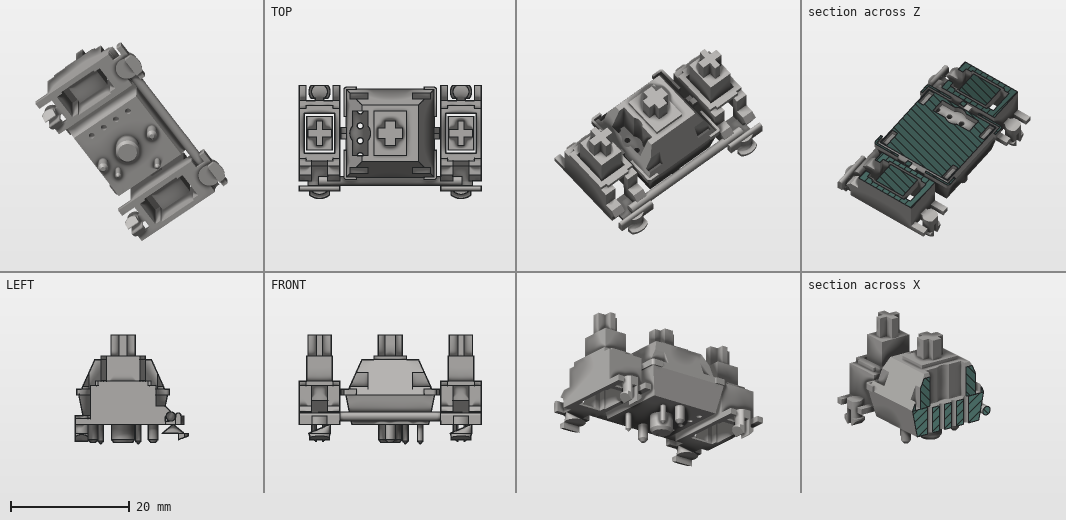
import cadquery as cq


TOTAL_WIDTH = 30.8
TOP_Z = 15.2
SHOULDER_Z = 11.65
PEG_TAPER_BOTTOM = -3.05

SPLIT_Z = 5.0
SPLIT_HALF = 7.5
LOWER_BASE_HALF = 6.5
UPPER_TOP_HALF = 4.8
UPPER_TOP_Z = 11.0

POST_DIAMETER = 3.97
POST_TIP_DIAMETER = 3.17
PEG_DIAMETER = 1.7
PEG_TIP_DIAMETER = 0.77
PEG_Y = 5.08
PEG_STRAIGHT_BOTTOM = -2.5
CONTACT_DIAMETER = 1.0
CONTACT_STRAIGHT_BOTTOM = -2.77
CONTACT_TIP_Z = -3.3
CONTACT_CENTERS = [(2.55, 3.8), (5.08, -2.55)]

LED_X = -5.08
LED_HOLE_DIAMETER = 1.0
LED_HOLE_YS = [-3.8, -1.25, 1.25, 3.8]
LED_POCKET_DIAMETER = 3.55
LED_POCKET_WIDTH = 2.65
LED_POCKET_LENGTH = 7.5
LED_POCKET_FLOOR_Z = 4.68

LIP_OUTER_HALF = 7.85
LIP_INNER_HALF = 7.42
LIP_HEIGHT = 1.05
LIP_CORNER_RADIUS = 0.52
LIP_GAP_X_HALF = 5.73
LIP_GAP_Y_HALF = 2.83
TAB_TIP_X = 8.4
TAB_HALF_WIDTH = 1.0
TAB_LOW_HEIGHT = 0.52

NOTCH_INNER_X = 3.75
NOTCH_INNER_Y = 5.8
NOTCH_OUTER = 6.85

STEM_PLATE_X = 5.55
STEM_PLATE_Y = 7.55
STEM_CROSS_X = 4.07
STEM_CROSS_Y = 4.15
STEM_ARM_X = 1.8
STEM_ARM_Y = 1.75

MODULE_WIDTH = 6.87
MODULE_HALF = MODULE_WIDTH / 2
MODULE_X = (TOTAL_WIDTH - MODULE_WIDTH) / 2
BOX_HALF_Y = 5.55
BOX_TOP_Z = 6.62
RIM_TOP_Z = 7.35
RIM_WIDE_HALF_Y = 4.22
RIM_NARROW_HALF_Y = 4.68
RIM_NARROW_HALF_X = 2.25
OPENING_HALF_X = 2.55
OPENING_HALF_Y = 3.35
CAVITY_HALF_Y = 4.47
SLOT_HALF = 1.35
SILL_HEIGHT = 0.3

WIRE_DIAMETER = 1.6
WIRE_RADIUS = WIRE_DIAMETER / 2
WIRE_Y = -8.07
WIRE_Z = 1.4
WIRE_HALF_LENGTH = 12.15
FLOOR_HEIGHT = WIRE_Z - WIRE_RADIUS
CRADLE_HALF = 1.97

LEG_TOP_Z = 3.2
LEG_SHOULDER_Y = -7.08
LEG_FRONT_Y = -7.15
LEG_TIP_Y = -8.05

CLIP_THICKNESS = 0.92
CLIP_TOP_Z = 2.0
FOOT_Y = -8.47
FOOT_DIAMETER = 3.7
FOOT_TOP_Z = 1.48
FOOT_BASE_Z = -1.45
CONE_TIP_RADIUS = 0.12
TOE_RADIUS = 2.6
TOE_HALF_WIDTH = 1.7
TOE_BACK_Y = -9.33
TOE_HEEL_Z = -2.55
TOE_TIP_Z = -1.9

PRONG_INNER_X = 2.25
PRONG_HEIGHT = 1.02
BACK_Y = 8.13
BARB_PEG_Y = 7.02
BARB_SHAFT_DIAMETER = 2.68
BARB_HEAD_DIAMETER = 3.6
BARB_PEG_TOP_Z = 1.55
BARB_TOP_Z = -1.45
BARB_EDGE_Z = -1.65
BARB_BOTTOM_Z = -2.83
BARB_TIP_HALF = 0.65
BARB_SPLIT_HALF = 0.5
BARB_NECK_HALF = 0.75

SLIDER_X = 4.37
SLIDER_Y = 5.7
SLIDER_BOTTOM_Z = 4.1
SLIDER_CROSS_X = 3.97
SLIDER_CROSS_Y = 4.1
SLIDER_ARM_X = 1.05
SLIDER_ARM_Y = 1.32


def block(x0, x1, y0, y1, z0, z1):
    """Axis-aligned box given by its limits."""
    return cq.Workplane("XY").box(x1 - x0, y1 - y0, z1 - z0, centered=False).translate((x0, y0, z0))


def centered_block(half_x, half_y, z0, z1):
    """Box centred on the Z axis."""
    return block(-half_x, half_x, -half_y, half_y, z0, z1)


def disk(x, y, diameter, z0, z1):
    """Vertical cylinder."""
    return cq.Workplane("XY", origin=(x, y, z0)).circle(diameter / 2).extrude(z1 - z0)


def square_frustum(half_bottom, half_top, z0, z1):
    """Four-sided frustum centred on the Z axis."""
    bottom = cq.Workplane("XY", origin=(0, 0, z0)).rect(2 * half_bottom, 2 * half_bottom)
    return bottom.workplane(offset=z1 - z0).rect(2 * half_top, 2 * half_top).loft(ruled=True)


def turned_pin(x, y, diameter, tip_diameter, straight_bottom, tip_z):
    """Pin hanging below Z = 0 that narrows to its tip."""
    profile = [(0, 0), (diameter / 2, 0), (diameter / 2, straight_bottom)]
    if tip_diameter > 0:
        profile.append((tip_diameter / 2, tip_z))
    profile.append((0, tip_z))
    pin = cq.Workplane("XZ").polyline(profile).close().revolve(360, (0, 0, 0), (0, 1, 0))
    return pin.translate((x, y, 0))


def key_cross(size_x, size_y, arm_x, arm_y):
    """Cross that plugs into a keycap."""
    along_x = centered_block(size_x / 2, arm_y / 2, SHOULDER_Z, TOP_Z)
    along_y = centered_block(arm_x / 2, size_y / 2, SHOULDER_Z, TOP_Z)
    return along_x.union(along_y)


def x_rod(half_length):
    """Round bar along X on the wire axis."""
    rod = cq.Workplane("YZ", origin=(-half_length, 0, 0)).center(WIRE_Y, WIRE_Z)
    return rod.circle(WIRE_RADIUS).extrude(2 * half_length)


def make_led_pocket():
    """Cutter for the light window: a slot with a round bulge in the middle."""
    slot = centered_block(LED_POCKET_WIDTH / 2, LED_POCKET_LENGTH / 2, LED_POCKET_FLOOR_Z, UPPER_TOP_Z)
    bulge = disk(LED_X, 0, LED_POCKET_DIAMETER, LED_POCKET_FLOOR_Z, UPPER_TOP_Z)
    return slot.translate((LED_X, 0, 0)).union(bulge)


def make_lower_housing():
    body = square_frustum(LOWER_BASE_HALF, SPLIT_HALF, 0, SPLIT_Z)
    body = body.union(
        turned_pin(0, 0, POST_DIAMETER, POST_TIP_DIAMETER, PEG_STRAIGHT_BOTTOM, PEG_TAPER_BOTTOM)
    )
    for y in (-PEG_Y, PEG_Y):
        body = body.union(
            turned_pin(0, y, PEG_DIAMETER, PEG_TIP_DIAMETER, PEG_STRAIGHT_BOTTOM, PEG_TAPER_BOTTOM)
        )
    for x, y in CONTACT_CENTERS:
        body = body.union(turned_pin(x, y, CONTACT_DIAMETER, 0, CONTACT_STRAIGHT_BOTTOM, CONTACT_TIP_Z))
    for y in LED_HOLE_YS:
        body = body.cut(disk(LED_X, y, LED_HOLE_DIAMETER, 0, SPLIT_Z))
    return body.cut(make_led_pocket())


def make_corner_lips():
    """Thin upright lip kept only around the four corners."""
    top = SPLIT_Z + LIP_HEIGHT
    lip = centered_block(LIP_OUTER_HALF, LIP_OUTER_HALF, SPLIT_Z, top)
    lip = lip.edges("|Z").fillet(LIP_CORNER_RADIUS)
    lip = lip.cut(centered_block(LIP_INNER_HALF, LIP_INNER_HALF, SPLIT_Z, top))
    lip = lip.cut(centered_block(LIP_GAP_X_HALF, LIP_OUTER_HALF, SPLIT_Z, top))
    return lip.cut(centered_block(LIP_OUTER_HALF, LIP_GAP_Y_HALF, SPLIT_Z, top))


def make_side_tab():
    """Stepped tab on the right side: the front half is the taller one."""
    front = block(LIP_INNER_HALF, TAB_TIP_X, -TAB_HALF_WIDTH, 0, SPLIT_Z, SPLIT_Z + LIP_HEIGHT)
    back = block(LIP_INNER_HALF, TAB_TIP_X, 0, TAB_HALF_WIDTH, SPLIT_Z, SPLIT_Z + TAB_LOW_HEIGHT)
    return front.union(back)


def make_upper_housing():
    body = square_frustum(SPLIT_HALF, UPPER_TOP_HALF, SPLIT_Z, UPPER_TOP_Z)

    notch = block(NOTCH_INNER_X, NOTCH_OUTER, NOTCH_INNER_Y, NOTCH_OUTER, SPLIT_Z, UPPER_TOP_Z)
    front_back = notch.union(notch.mirror("XZ"))
    body = body.cut(front_back).cut(front_back.mirror("YZ"))

    body = body.cut(make_led_pocket())

    tab = make_side_tab()
    return body.union(make_corner_lips()).union(tab).union(tab.mirror("YZ"))


def make_stem():
    plate = centered_block(STEM_PLATE_X / 2, STEM_PLATE_Y / 2, UPPER_TOP_Z, SHOULDER_Z)
    return plate.union(key_cross(STEM_CROSS_X, STEM_CROSS_Y, STEM_ARM_X, STEM_ARM_Y))


def make_box():
    """Hollow box with a raised rim and a slot through its front wall."""
    box = centered_block(MODULE_HALF, BOX_HALF_Y, 0, BOX_TOP_Z)
    box = box.cut(centered_block(OPENING_HALF_X, OPENING_HALF_Y, 0, BOX_TOP_Z))
    box = box.cut(centered_block(RIM_NARROW_HALF_X, CAVITY_HALF_Y, 0, BOX_TOP_Z))
    box = box.cut(block(-SLOT_HALF, SLOT_HALF, -BOX_HALF_Y, -CAVITY_HALF_Y, SILL_HEIGHT, BOX_TOP_Z))
    rim = centered_block(MODULE_HALF, RIM_WIDE_HALF_Y, BOX_TOP_Z, RIM_TOP_Z)
    rim = rim.union(centered_block(RIM_NARROW_HALF_X, RIM_NARROW_HALF_Y, BOX_TOP_Z, RIM_TOP_Z))
    rim = rim.cut(centered_block(OPENING_HALF_X, OPENING_HALF_Y, BOX_TOP_Z, RIM_TOP_Z))
    return box.union(rim)


def make_legs():
    """Two hooked legs at the front that reach over the wire."""
    tip_z = LEG_TOP_Z - (LEG_SHOULDER_Y - LEG_TIP_Y)
    profile = [
        (-BOX_HALF_Y, 0),
        (-BOX_HALF_Y, LEG_TOP_Z),
        (LEG_SHOULDER_Y, LEG_TOP_Z),
        (LEG_TIP_Y, tip_z),
        (LEG_TIP_Y, WIRE_Z),
        (LEG_FRONT_Y, WIRE_Z),
        (LEG_FRONT_Y, 0),
    ]
    legs = cq.Workplane("YZ", origin=(-MODULE_HALF, 0, 0)).polyline(profile).close().extrude(MODULE_WIDTH)
    return legs.cut(block(-SLOT_HALF, SLOT_HALF, LEG_TIP_Y, -BOX_HALF_Y, 0, LEG_TOP_Z))


def make_clip():
    """Round-topped bar in front of the wire, with the floor and cradle below the wire."""
    back_y = WIRE_Y - WIRE_RADIUS
    radius = CLIP_THICKNESS / 2
    profile = cq.Workplane("YZ", origin=(-MODULE_HALF, 0, 0)).moveTo(back_y, 0)
    profile = profile.lineTo(back_y, CLIP_TOP_Z - radius)
    profile = profile.threePointArc(
        (back_y - radius, CLIP_TOP_Z), (back_y - CLIP_THICKNESS, CLIP_TOP_Z - radius)
    )
    bar = profile.lineTo(back_y - CLIP_THICKNESS, 0).close().extrude(MODULE_WIDTH)
    floor = block(-SLOT_HALF, SLOT_HALF, back_y, -BOX_HALF_Y, 0, FLOOR_HEIGHT)
    cradle_base = block(-CRADLE_HALF, CRADLE_HALF, back_y, LEG_FRONT_Y, 0, FLOOR_HEIGHT)
    cradle_front = block(-CRADLE_HALF, CRADLE_HALF, back_y, WIRE_Y, 0, WIRE_Z)
    return bar.union(floor).union(cradle_base).union(cradle_front)


def make_foot():
    """Short pillar, slanted cone with its tip at the right, and a bevelled toe."""
    radius = FOOT_DIAMETER / 2
    pillar = disk(0, FOOT_Y, FOOT_DIAMETER, 0, FOOT_TOP_Z)
    pillar = pillar.cut(block(-radius, radius, WIRE_Y, FOOT_Y + radius, 0, FOOT_TOP_Z))

    base = cq.Workplane("XY", origin=(0, FOOT_Y, FOOT_BASE_Z)).circle(radius)
    tip = base.workplane(offset=-FOOT_BASE_Z).center(radius - CONE_TIP_RADIUS, 0).circle(CONE_TIP_RADIUS)
    cone = tip.loft(ruled=True)

    toe_tip_y = FOOT_Y - TOE_RADIUS
    profile = [
        (TOE_BACK_Y, FOOT_BASE_Z),
        (toe_tip_y, FOOT_BASE_Z),
        (toe_tip_y, TOE_TIP_Z),
        (TOE_BACK_Y, TOE_HEEL_Z),
    ]
    wedge = cq.Workplane("YZ", origin=(-TOE_HALF_WIDTH, 0, 0)).polyline(profile).close()
    toe = wedge.extrude(2 * TOE_HALF_WIDTH)
    toe = toe.intersect(disk(0, FOOT_Y, 2 * TOE_RADIUS, TOE_HEEL_Z, FOOT_BASE_Z))
    return pillar.union(cone).union(toe)


def make_barbed_peg():
    """Split peg at the back with a barb on each side."""
    half_depth = BACK_Y - BARB_PEG_Y
    front_y = BARB_PEG_Y - half_depth
    head_radius = BARB_HEAD_DIAMETER / 2
    profile = [
        (-head_radius, BARB_TOP_Z),
        (head_radius, BARB_TOP_Z),
        (head_radius, BARB_EDGE_Z),
        (BARB_TIP_HALF, BARB_BOTTOM_Z),
        (-BARB_TIP_HALF, BARB_BOTTOM_Z),
        (-head_radius, BARB_EDGE_Z),
    ]
    barb = cq.Workplane("XZ", origin=(0, BACK_Y, 0)).polyline(profile).close().extrude(2 * half_depth)
    barb = barb.intersect(disk(0, BARB_PEG_Y, BARB_HEAD_DIAMETER, BARB_BOTTOM_Z, BARB_TOP_Z))
    shaft = disk(0, BARB_PEG_Y, BARB_SHAFT_DIAMETER, BARB_TOP_Z, BARB_PEG_TOP_Z)
    shaft = shaft.intersect(block(-head_radius, head_radius, front_y, BACK_Y, BARB_TOP_Z, BARB_PEG_TOP_Z))
    split = block(-BARB_SPLIT_HALF, BARB_SPLIT_HALF, front_y, BACK_Y, BARB_BOTTOM_Z, 0)
    neck = block(-BARB_NECK_HALF, BARB_NECK_HALF, BOX_HALF_Y, BARB_PEG_Y, 0, BARB_PEG_TOP_Z)
    return barb.union(shaft).cut(split).union(neck)


def make_stabilizer_housing(x):
    body = make_box().union(make_legs()).union(make_clip()).union(make_foot()).union(make_barbed_peg())
    prong = block(PRONG_INNER_X, MODULE_HALF, BOX_HALF_Y, BACK_Y, 0, PRONG_HEIGHT)
    body = body.union(prong).union(prong.mirror("YZ"))
    return body.cut(x_rod(MODULE_HALF)).translate((x, 0, 0))


def make_slider(x):
    slider = centered_block(SLIDER_X / 2, SLIDER_Y / 2, SLIDER_BOTTOM_Z, SHOULDER_Z)
    slider = slider.union(key_cross(SLIDER_CROSS_X, SLIDER_CROSS_Y, SLIDER_ARM_X, SLIDER_ARM_Y))
    return slider.translate((x, 0, 0))


lower_housing = make_lower_housing()
upper_housing = make_upper_housing()
stem = make_stem()
wire = x_rod(WIRE_HALF_LENGTH)

bodies = [lower_housing, upper_housing, stem, wire]
for module_x in (-MODULE_X, MODULE_X):
    bodies.append(make_stabilizer_housing(module_x))
    bodies.append(make_slider(module_x))

result = cq.Compound.makeCompound([body.solids().val() for body in bodies])